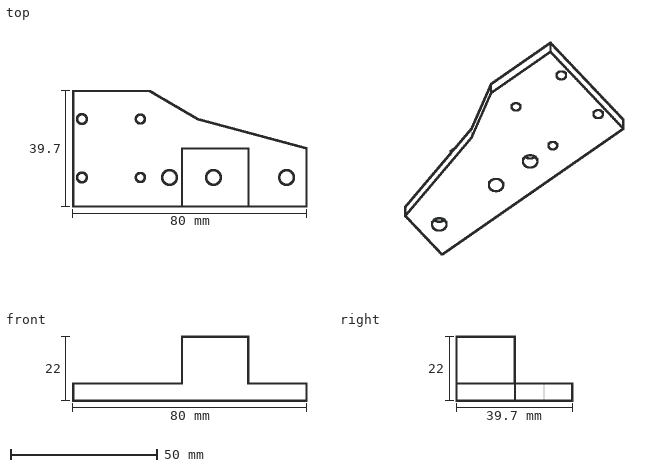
import cadquery as cq

length = 80.0
width = 39.7
plate_thickness = 6.0
wide_end_length = 26.2
bend_x = 42.7
bend_y = 30.0
narrow_width = 20.0

total_height = 22.0
block_left = 37.3
block_right = 60.0
block_width = narrow_width

pattern_pitch = 20.0
pattern_left = 3.0
pattern_right = pattern_left + pattern_pitch
front_row_y = narrow_width / 2
back_row_y = front_row_y + pattern_pitch
left_hole_diameter = 3.3
right_hole_diameter = 3.0

large_hole_diameter = 5.0
large_hole_xs = (33.0, 48.1, 73.1)


def make_plate():
    outline = [
        (0, 0),
        (length, 0),
        (length, narrow_width),
        (bend_x, bend_y),
        (wide_end_length, width),
        (0, width),
    ]
    return cq.Workplane("XY").polyline(outline).close().extrude(plate_thickness)


def make_block():
    block_length = block_right - block_left
    return (
        cq.Workplane("XY")
        .box(block_length, block_width, total_height, centered=False)
        .translate((block_left, 0, 0))
    )


def make_drills(centers, diameter):
    """Cylinders that cut through the full height of the part."""
    return cq.Workplane("XY").pushPoints(centers).circle(diameter / 2).extrude(total_height)


def column_centers(x):
    return [(x, front_row_y), (x, back_row_y)]


result = make_plate().union(make_block())
result = result.cut(make_drills(column_centers(pattern_left), left_hole_diameter))
result = result.cut(make_drills(column_centers(pattern_right), right_hole_diameter))
large_hole_centers = [(x, front_row_y) for x in large_hole_xs]
result = result.cut(make_drills(large_hole_centers, large_hole_diameter))